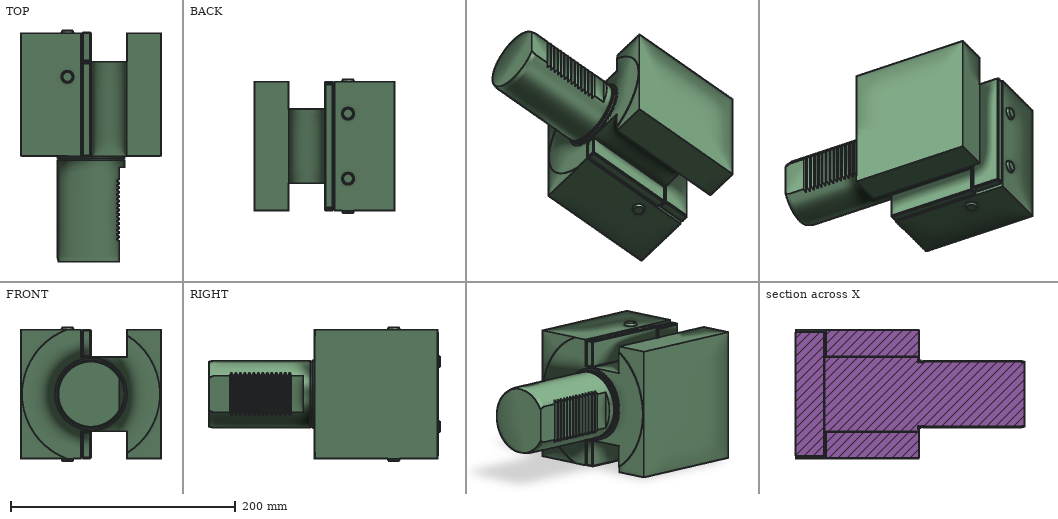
import cadquery as cq
import math


BODY_WIDTH = 125.0
BODY_LENGTH = 110.0
BODY_HEIGHT = 115.0
SEAT_RADIUS = 61.5
SEAT_RISE = 0.5

SLOT_LEFT = -9.0
SLOT_RIGHT = 32.0
WEB_HALF_HEIGHT = 33.25
WEB_BACK = 84.6

PLATE_LEFT = -8.0
PLATE_WIDTH = 8.0
PLATE_CHAMFER = 1.0
SIDE_PLATE_BACK = 83.5
BACK_PLATE_OVERHANG = 0.7
BACK_PLATE_HALF_HEIGHT = 55.7

SHANK_DIAMETER = 60.0
SHANK_LENGTH = 94.0
NECK_DIAMETER = 58.7
NECK_LENGTH = 3.5
END_CHAMFER_LENGTH = 4.0
END_CHAMFER_DEPTH = 1.0
FLAT_OFFSET = 25.2
FLAT_START = 9.8

TOOTH_PITCH = 4.0
VALLEY_COUNT = 14
FIRST_VALLEY = 21.8
VALLEY_DEPTH = 2.0
VALLEY_MOUTH = 3.0
VALLEY_FLOOR = 0.6

RECESS_RADIUS = 32.2
RECESS_DEPTH = 1.0
RING_RADIUS = 29.2
RING_SECTION_RADIUS = 1.05
RING_PROTRUSION = 0.5

NOZZLE_HEIGHT = 2.37
NOZZLE_BASE_RADIUS = 5.5
NOZZLE_TOP_RADIUS = 4.3
NOZZLE_X = -21.0
SIDE_NOZZLE_Y = 71.0
BACK_NOZZLE_Z = 29.0


def box(x_min, x_max, y_min, y_max, z_min, z_max):
    size = (x_max - x_min, y_max - y_min, z_max - z_min)
    return cq.Workplane("XY").box(*size, centered=False).translate((x_min, y_min, z_min))


def disc(radius, y_min, y_max):
    """Cylinder on the shank axis."""
    return cq.Workplane("XZ", origin=(0, y_max, 0)).circle(radius).extrude(y_max - y_min)


def make_body():
    half_width = BODY_WIDTH / 2
    half_height = BODY_HEIGHT / 2
    block = box(-half_width, half_width, SEAT_RISE, BODY_LENGTH, -half_height, half_height)
    envelope = box(-half_width, half_width, 0, BODY_LENGTH, -half_height, half_height)
    body = block.union(disc(SEAT_RADIUS, 0, BODY_LENGTH / 2).intersect(envelope))
    body = body.cut(box(SLOT_LEFT, SLOT_RIGHT, 0, BODY_LENGTH, WEB_HALF_HEIGHT, half_height))
    body = body.cut(box(SLOT_LEFT, SLOT_RIGHT, 0, BODY_LENGTH, -half_height, -WEB_HALF_HEIGHT))
    body = body.cut(box(SLOT_LEFT, SLOT_RIGHT, WEB_BACK, BODY_LENGTH, -half_height, half_height))
    return body.cut(disc(RECESS_RADIUS, 0, RECESS_DEPTH))


def make_plates():
    half_height = BODY_HEIGHT / 2
    plate_right = PLATE_LEFT + PLATE_WIDTH
    back_end = BODY_LENGTH + BACK_PLATE_OVERHANG
    upper = box(PLATE_LEFT, plate_right, 0, SIDE_PLATE_BACK, WEB_HALF_HEIGHT, half_height)
    upper = upper.edges().chamfer(PLATE_CHAMFER)
    lower = upper.mirror("XY")
    back_z = BACK_PLATE_HALF_HEIGHT
    back = box(PLATE_LEFT, plate_right, WEB_BACK, back_end, -back_z, back_z)
    return [upper, lower, back.edges().chamfer(PLATE_CHAMFER)]


def make_shank():
    radius = SHANK_DIAMETER / 2
    neck_radius = NECK_DIAMETER / 2
    profile = [
        (0, RECESS_DEPTH),
        (neck_radius, RECESS_DEPTH),
        (neck_radius, -NECK_LENGTH),
        (radius, -NECK_LENGTH),
        (radius, END_CHAMFER_LENGTH - SHANK_LENGTH),
        (radius - END_CHAMFER_DEPTH, -SHANK_LENGTH),
        (0, -SHANK_LENGTH),
    ]
    shank = cq.Workplane("XY").polyline(profile).close().revolve(360, (0, 0, 0), (0, 1, 0))
    shank = shank.cut(box(FLAT_OFFSET, radius, -SHANK_LENGTH, -FLAT_START, -radius, radius))
    for index in range(VALLEY_COUNT):
        shank = shank.cut(make_valley(-FIRST_VALLEY - index * TOOTH_PITCH))
    return shank


def make_valley(y):
    """Trapezoidal groove across the shank flat, centred at the given Y."""
    floor_x = FLAT_OFFSET - VALLEY_DEPTH
    profile = [
        (FLAT_OFFSET, y - VALLEY_MOUTH / 2),
        (FLAT_OFFSET, y + VALLEY_MOUTH / 2),
        (floor_x, y + VALLEY_FLOOR / 2),
        (floor_x, y - VALLEY_FLOOR / 2),
    ]
    return cq.Workplane("XY").polyline(profile).close().extrude(SHANK_DIAMETER / 2, both=True)


def make_sealing_ring():
    section = cq.Workplane("XY").center(RING_RADIUS, -RING_PROTRUSION).circle(RING_SECTION_RADIUS)
    return section.revolve(360, (-RING_RADIUS, 0, 0), (-RING_RADIUS, 1, 0))


def make_nozzle():
    """Spherical zone standing on the XY plane, its base circle larger than its top circle."""
    radius_drop = NOZZLE_BASE_RADIUS**2 - NOZZLE_TOP_RADIUS**2
    centre_depth = (radius_drop - NOZZLE_HEIGHT**2) / (2 * NOZZLE_HEIGHT)
    ball_radius = math.hypot(NOZZLE_BASE_RADIUS, centre_depth)
    ball = cq.Workplane("XY").sphere(ball_radius).translate((0, 0, -centre_depth))
    core = cq.Workplane("XY", origin=(0, 0, -centre_depth)).circle(ball_radius)
    return ball.intersect(core.extrude(centre_depth + NOZZLE_HEIGHT))


def make_nozzles():
    nozzle = make_nozzle()
    top = nozzle.translate((NOZZLE_X, SIDE_NOZZLE_Y, BODY_HEIGHT / 2))
    back = nozzle.rotate((0, 0, 0), (1, 0, 0), -90)
    nozzles = [top, top.mirror("XY")]
    for z in (-BACK_NOZZLE_Z, BACK_NOZZLE_Z):
        nozzles.append(back.translate((NOZZLE_X, BODY_LENGTH, z)))
    return nozzles


result = make_body().union(make_shank()).union(make_sealing_ring())
for detail in make_plates() + make_nozzles():
    result = result.union(detail)